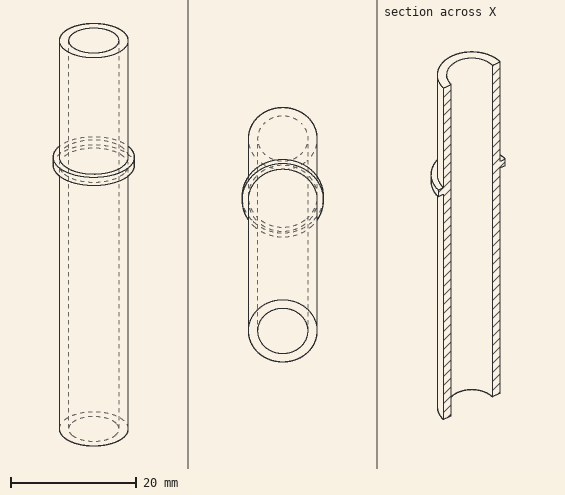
import cadquery as cq

length = 71.5
tube_diameter = 11.0
bore_diameter = 8.0

collar_diameter = 13.0
collar_thickness = 1.5
collar_top_to_tube_end = 21.45
collar_bottom = length - collar_top_to_tube_end - collar_thickness


def cylinder(diameter, height, base_height=0.0):
    """Upright cylinder centred on the Z axis."""
    return cq.Workplane("XY").workplane(offset=base_height).circle(diameter / 2).extrude(height)


tube = cylinder(tube_diameter, length)
collar = cylinder(collar_diameter, collar_thickness, collar_bottom)
bore = cylinder(bore_diameter, length)

result = tube.union(collar).cut(bore)